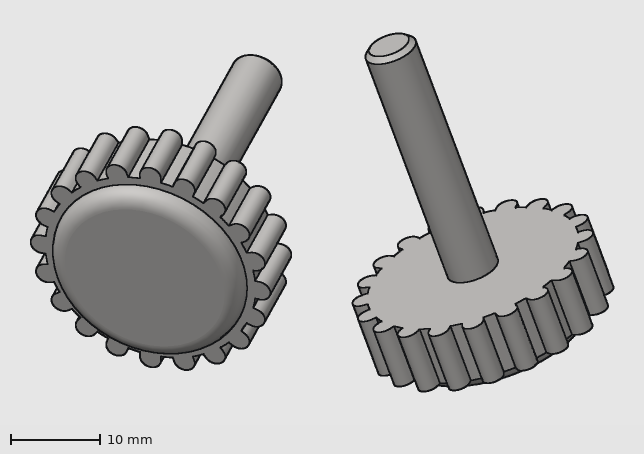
import cadquery as cq
import math

total_length = 39.3
outer_diameter = 28.5

rim_thickness = 7.3
root_radius = 12.5
tooth_count = 20
tooth_radius = 1.25
tooth_center_radius = outer_diameter / 2 - tooth_radius

cap_diameter = 23.0
cap_height = 2.0

shank_diameter = 6.0
shank_chamfer = 0.63
shank_length = total_length - rim_thickness - cap_height

rim_front = -rim_thickness
cap_front = rim_front - cap_height


def disc(diameter, start_y, length):
    """Cylinder about the Y axis, extending from start_y toward +Y."""
    plane = cq.Workplane("XZ", origin=(0, start_y, 0))
    return plane.circle(diameter / 2).extrude(-length)


def make_tooth():
    """Radial tooth along +X: parallel flanks closed by a round tip."""
    return (
        cq.Workplane("XZ", origin=(0, rim_front, 0))
        .moveTo(0, -tooth_radius)
        .lineTo(tooth_center_radius, -tooth_radius)
        .threePointArc((outer_diameter / 2, 0), (tooth_center_radius, tooth_radius))
        .lineTo(0, tooth_radius)
        .close()
        .extrude(-rim_thickness)
    )


def make_rim():
    """Root cylinder with evenly spaced teeth, the first one along +X."""
    rim = disc(2 * root_radius, rim_front, rim_thickness)
    tooth = make_tooth()
    for index in range(tooth_count):
        angle = index * 360 / tooth_count
        rim = rim.union(tooth.rotate((0, 0, 0), (0, 1, 0), angle))
    return rim


def make_cap():
    """Flat cap whose edge is a quarter round over its full height."""
    cap_radius = cap_diameter / 2
    flat_radius = cap_radius - cap_height
    arc_offset = cap_height * math.sqrt(0.5)
    return (
        cq.Workplane("XY")
        .moveTo(0, cap_front)
        .lineTo(flat_radius, cap_front)
        .threePointArc((flat_radius + arc_offset, rim_front - arc_offset), (cap_radius, rim_front))
        .lineTo(0, rim_front)
        .close()
        .revolve(360, (0, 0, 0), (0, 1, 0))
    )


def make_shank():
    shank = disc(shank_diameter, 0, shank_length)
    return shank.faces(">Y").edges().chamfer(shank_chamfer)


result = make_rim().union(make_cap()).union(make_shank())